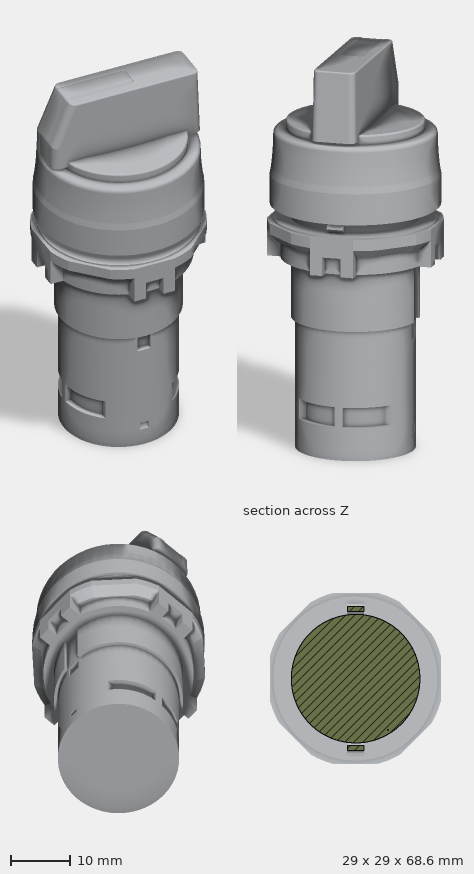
import cadquery as cq
import math

neck_bottom_z = 22.7
nut_bottom_z = 33.1
nut_chamfer_bottom_z = 36.35
nut_flange_top_z = 39.8
nut_top_z = 40.05
bezel_bottom_z = 42.1
bezel_band_bottom_z = 42.45
bezel_band_top_z = 47.7
bezel_waist_z = 48.9
bezel_shoulder_z = 54.75
bezel_top_z = 55.6
handle_bottom_z = 56.3
cap_top_z = 57.2
total_height = 68.6

body_dia = 20.5
neck_dia = 21.8
cap_dia = 23.5
nut_collar_dia = 25.4
nut_top_dia = 27.8
bezel_shoulder_dia = 27.8
bezel_lip_dia = 28.0
bezel_dia = 29.0
body_radius = body_dia / 2

bezel_shoulder_radius = bezel_shoulder_dia / 2
bezel_middle_radius = 14.0
bezel_waist_radius = 14.3
bezel_top_fillet = bezel_top_z - bezel_shoulder_z
cap_edge_fillet = 0.35
dish_radius = 8.4
dish_depth = 0.35

nut_across_flats = 28.9
nut_corner_dia = 29.85
nut_underside_chamfer = 1.5
lug_width = 7.6
notch_width = 3.2

tab_width = 2.9
tab_thickness = 1.2
tab_length = 3.4
tab_tilt = 45
tab_tip_y = 12.15
tab_tip_z = 41.2

pocket_floor_dia = 18.5
window_bottom_z = 5.75
window_height = 3.5
window_inner_x = 0.7
window_outer_y = 6.25
recess_width = 2.4
recess_bottom_z = 19.4
recess_height = 3.1
catch_width = 1.6
catch_bottom_z = 2.05
catch_step_z = 3.1
catch_top_z = 4.5
catch_lip_depth = 0.1

handle_bottom_width = 7.6
handle_top_width = 7.35
handle_front_y = -13.85
handle_back_bottom_y = 13.8
handle_back_top_y = 13.4
slope_top_y = -10.5
slope_bottom_z = 60.6
handle_corner_fillet = 1.1
handle_top_fillet = 0.3
marker_width = 4.0
marker_back_y = 2.1
marker_corner = 0.7
marker_depth = 0.1
marker_top_round = 0.4
marker_bend_round = 1.0


def disk(diameter, bottom_z, top_z):
    """Solid cylinder on the Z axis between two heights."""
    return cq.Workplane("XY", origin=(0, 0, bottom_z)).circle(diameter / 2).extrude(top_z - bottom_z)


def block(x_range, y_range, z_range):
    """Axis-aligned box given by its (low, high) limits."""
    sizes = [high - low for low, high in (x_range, y_range, z_range)]
    corner = (x_range[0], y_range[0], z_range[0])
    return cq.Workplane("XY").box(*sizes, centered=False).translate(corner)


def make_bezel():
    """Bezel ring turned about Z, with a hollow-curved grip and a rounded top edge."""
    outer = bezel_dia / 2
    lip = bezel_lip_dia / 2
    middle_z = (bezel_waist_z + bezel_shoulder_z) / 2
    top_radius = bezel_shoulder_radius - bezel_top_fillet
    round_offset = bezel_top_fillet * math.sqrt(0.5)
    round_middle = (top_radius + round_offset, bezel_shoulder_z + round_offset)
    profile = (
        cq.Workplane("XZ")
        .moveTo(0, bezel_bottom_z)
        .lineTo(lip, bezel_bottom_z)
        .lineTo(lip, bezel_band_bottom_z)
        .lineTo(outer, bezel_band_bottom_z)
        .lineTo(outer, bezel_band_top_z)
        .lineTo(bezel_waist_radius, bezel_waist_z)
        .threePointArc((bezel_middle_radius, middle_z), (bezel_shoulder_radius, bezel_shoulder_z))
        .threePointArc(round_middle, (top_radius, bezel_top_z))
        .lineTo(0, bezel_top_z)
        .close()
    )
    return profile.revolve(360, (0, 0, 0), (0, 1, 0))


def make_cap():
    """Round cap with a softened rim and a shallow spherical dish in its top."""
    cap = disk(cap_dia, bezel_top_z, cap_top_z).faces(">Z").edges().fillet(cap_edge_fillet)
    ball_radius = (dish_radius**2 + dish_depth**2) / (2 * dish_depth)
    ball = cq.Workplane("XY").sphere(ball_radius)
    return cap.cut(ball.translate((0, 0, cap_top_z - dish_depth + ball_radius)))


def make_nut():
    """Octagonal flange on a round collar, with a notched lug on each main flat."""
    half_flats = nut_across_flats / 2
    flange_bottom_z = nut_chamfer_bottom_z
    square = block(
        (-half_flats, half_flats), (-half_flats, half_flats), (flange_bottom_z, nut_flange_top_z)
    )
    octagon = square.intersect(square.rotate((0, 0, 0), (0, 0, 1), 45))
    flange = octagon.intersect(disk(nut_corner_dia, flange_bottom_z, nut_flange_top_z))
    nut = flange.faces("<Z").edges().chamfer(nut_underside_chamfer)
    collar = disk(nut_collar_dia, nut_bottom_z, nut_flange_top_z)
    half_lug = lug_width / 2
    half_notch = notch_width / 2
    for angle in range(0, 360, 90):
        lug = block((0, half_flats), (-half_lug, half_lug), (nut_bottom_z, nut_flange_top_z))
        notch = block((0, nut_across_flats), (-half_notch, half_notch), (nut_bottom_z, nut_chamfer_bottom_z))
        nut = nut.union(lug.cut(notch).rotate((0, 0, 0), (0, 0, 1), angle))
    return nut.union(collar).union(disk(nut_top_dia, nut_flange_top_z, nut_top_z))


def make_tab():
    """Tilted tab on the +Y side, rising outwards from the neck."""
    return (
        cq.Workplane("XY")
        .box(tab_width, tab_length, tab_thickness)
        .translate((0, -tab_length / 2, 0))
        .rotate((0, 0, 0), (1, 0, 0), tab_tilt)
        .translate((0, tab_tip_y, tab_tip_z))
    )


def make_window():
    """Pocket with a round floor, on the +X, +Y quarter of the body."""
    window_top_z = window_bottom_z + window_height
    opening = block((window_inner_x, body_dia), (window_outer_y, body_dia), (window_bottom_z, window_top_z))
    return opening.cut(disk(pocket_floor_dia, window_bottom_z, window_top_z))


def make_side_recess():
    """Rectangular recess with a round floor below the neck, on the +X side of the body."""
    half_width = recess_width / 2
    recess_top_z = recess_bottom_z + recess_height
    opening = block((0, body_dia), (-half_width, half_width), (recess_bottom_z, recess_top_z))
    return opening.cut(disk(pocket_floor_dia, recess_bottom_z, recess_top_z))


def make_catch_recess():
    """Small catch near the bottom on the +X side: a ramp running inwards above a shallow lip."""
    lip_x = body_radius - catch_lip_depth
    return (
        cq.Workplane("XZ")
        .moveTo(body_dia, catch_bottom_z)
        .lineTo(lip_x, catch_bottom_z)
        .lineTo(lip_x, catch_step_z)
        .lineTo(pocket_floor_dia / 2, catch_top_z)
        .lineTo(body_dia, catch_top_z)
        .close()
        .extrude(catch_width / 2, both=True)
    )


def make_key_groove():
    """Groove up the -X side of the neck to the nut, with its floor on the body diameter."""
    half_notch = notch_width / 2
    groove = block((-neck_dia, 0), (-half_notch, half_notch), (neck_bottom_z, nut_bottom_z))
    return groove.cut(disk(body_dia, neck_bottom_z, nut_bottom_z))


def handle_block(inset):
    """Drafted lever with a sloping front, shrunk by `inset` on its front, slope and top."""
    bottom_length = handle_back_bottom_y - handle_front_y
    top_length = handle_back_top_y - handle_front_y
    height = total_height - handle_bottom_z
    lever = (
        cq.Workplane("XY", origin=(0, handle_front_y + bottom_length / 2, handle_bottom_z))
        .rect(handle_bottom_width, bottom_length)
        .workplane(offset=height)
        .center(0, (top_length - bottom_length) / 2)
        .rect(handle_top_width, top_length)
        .loft()
    )
    slope_angle = math.atan2(slope_top_y - handle_front_y, total_height - slope_bottom_z)
    slope_shift = inset / math.cos(slope_angle)
    side_outline = (
        cq.Workplane("YZ")
        .moveTo(handle_front_y + inset, handle_bottom_z)
        .lineTo(handle_back_bottom_y, handle_bottom_z)
        .lineTo(handle_back_bottom_y, total_height - inset)
        .lineTo(slope_top_y + slope_shift - inset * math.tan(slope_angle), total_height - inset)
        .lineTo(handle_front_y + inset, slope_bottom_z - inset * math.tan(slope_angle / 2))
        .close()
        .extrude(handle_bottom_width, both=True)
    )
    return lever.intersect(side_outline)


def make_handle():
    """Lever with rounded corners and a shallow marker strip along its top and front."""
    lever = handle_block(0)
    lever = lever.edges("not(#Z or |X)").fillet(handle_corner_fillet)
    lever = lever.faces(">Z").edges().fillet(handle_top_fillet)
    half_marker = marker_width / 2
    strip = block(
        (-half_marker, half_marker), (2 * handle_front_y, marker_back_y), (handle_bottom_z, total_height)
    )
    strip = strip.edges("|Z and >Y").fillet(marker_corner)
    marker_floor = handle_block(marker_depth)
    marker_floor = marker_floor.faces(">Z").edges("<Y").fillet(marker_top_round)
    marker_floor = marker_floor.faces("<Y").edges(">Z").fillet(marker_bend_round)
    return lever.cut(strip.cut(marker_floor))


body = disk(body_dia, 0, neck_bottom_z)
window = make_window()
for angle in (0, 180):
    for pocket in (window, window.mirror("XZ"), make_side_recess(), make_catch_recess()):
        body = body.cut(pocket.rotate((0, 0, 0), (0, 0, 1), angle))

neck = disk(neck_dia, neck_bottom_z, bezel_bottom_z).cut(make_key_groove())
tab = make_tab()
result = body.union(neck).union(make_nut())
result = result.union(tab).union(tab.mirror("XZ"))
result = result.union(make_bezel()).union(make_cap()).union(make_handle())